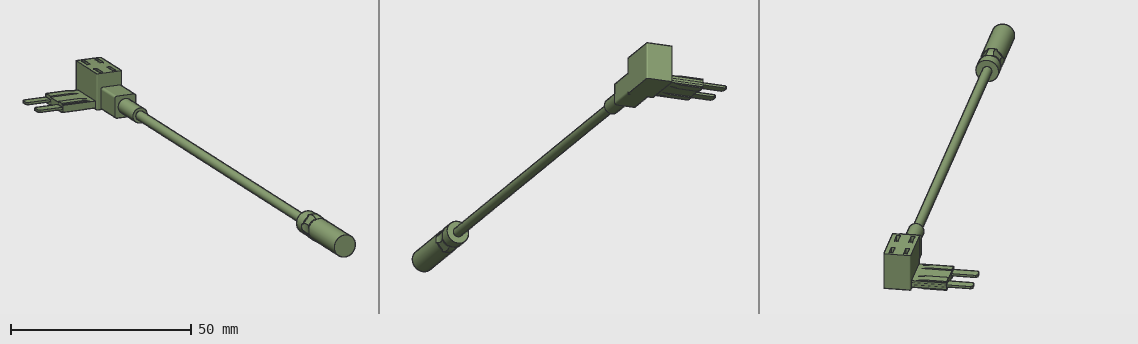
import cadquery as cq


total_length = 169.7
sleeve_start = 144.4
sleeve_radius = 3.2

neck_start = 148.5
neck_length = 3.5
neck_middle = neck_start + neck_length / 2
crown_height = 3.5
crown_length = 4.8
crown_half_width = 0.8
groove_floor = 2.7
groove_length = 4.8
side_half_height = 0.7

block_length = 14.1
block_front = -4.4
block_top = 7.3
block_edge_radius = 0.3

outlet_half_side = sleeve_radius
outlet_end = 23.5
outlet_edge_radius = 0.7
boot_end = 33.3
boot_radius = 2.2
cable_radius = 1.4

slot_width = 1.0
slot_depth = 1.7
slot_rows = (1.4, -2.7)
slot_spans = ((1.2, 4.8), (9.2, 13.0))

tongue_span = (1.4, 13.0)
tongue_end = -14.3
tongue_middle_z = -1.9
tongue_thickness = 2.0
rail_height = 0.3
rail_start = -5.8
rail_full = -7.8
rail_spans = ((1.7, 4.5), (10.0, 12.2))

blade_spans = ((1.7, 4.5), (9.5, 12.5))
blade_thickness = 0.7
blade_tip = -21.5
blade_tip_chamfer = 0.5


def box_between(x_range, y_range, z_range):
    """Box filling the given (low, high) range on each axis."""
    lows, highs = zip(x_range, y_range, z_range)
    sizes = [high - low for low, high in zip(lows, highs)]
    return cq.Workplane("XY").box(*sizes, centered=False).translate(lows)


def rod(x_start, x_end, radius):
    """Round rod on the cable axis."""
    return cq.Workplane("YZ").workplane(offset=x_start).circle(radius).extrude(x_end - x_start)


def make_blade(x_range):
    """Flat contact blade from the block's front face to its chamfered tip."""
    half = blade_thickness / 2
    z_range = (tongue_middle_z - half, tongue_middle_z + half)
    blade = box_between(x_range, (blade_tip, block_front), z_range)
    return blade.faces("<Y").edges("|Z").chamfer(blade_tip_chamfer)


def make_rail(x_range):
    """Rail standing above and below the tongue, with a ramp at its block end."""
    face = tongue_thickness / 2
    crest = face + rail_height
    profile = [
        (rail_start, face),
        (rail_full, crest),
        (tongue_end, crest),
        (tongue_end, -crest),
        (rail_full, -crest),
        (rail_start, -face),
    ]
    x_start, x_end = x_range
    rail = cq.Workplane("YZ").polyline(profile).close().extrude(x_end - x_start)
    return rail.translate((x_start, 0, tongue_middle_z))


def make_tongue():
    half = tongue_thickness / 2
    tongue = box_between(
        tongue_span,
        (tongue_end, block_front),
        (tongue_middle_z - half, tongue_middle_z + half),
    )
    for span in rail_spans:
        tongue = tongue.union(make_rail(span))
    for span in blade_spans:
        tongue = tongue.cut(make_blade(span))
    return tongue


def make_block():
    block = box_between(
        (0, block_length),
        (block_front, outlet_half_side),
        (-outlet_half_side, block_top),
    )
    block = block.edges("|Z").fillet(block_edge_radius)
    for row in slot_rows:
        for span in slot_spans:
            y_range = (row - slot_width / 2, row + slot_width / 2)
            block = block.cut(box_between(span, y_range, (block_top - slot_depth, block_top)))
    return block


def make_outlet():
    """Square outlet with rounded long edges, followed by the round cable boot."""
    root = block_length / 2
    side = (-outlet_half_side, outlet_half_side)
    outlet = box_between((root, outlet_end), side, side).edges("|X").fillet(outlet_edge_radius)
    return outlet.union(rod(outlet_end, boot_end, boot_radius))


def make_housing():
    return make_block().union(make_outlet()).union(make_tongue())


def make_neck_core():
    """Eight-sided core of the neck, crowned above and below."""
    corners = [
        (crown_half_width, crown_height),
        (sleeve_radius, side_half_height),
        (sleeve_radius, -side_half_height),
        (crown_half_width, -crown_height),
    ]
    outline = corners + [(-y, z) for y, z in reversed(corners)]
    core_start = neck_middle - crown_length / 2
    core_end = neck_middle + crown_length / 2
    core = cq.Workplane("YZ").workplane(offset=core_start).polyline(outline).close().extrude(crown_length)
    crown = (
        cq.Workplane("XZ")
        .moveTo(core_start, sleeve_radius)
        .threePointArc((neck_middle, crown_height), (core_end, sleeve_radius))
        .lineTo(core_end, -sleeve_radius)
        .threePointArc((neck_middle, -crown_height), (core_start, -sleeve_radius))
        .close()
        .extrude(sleeve_radius, both=True)
    )
    return core.intersect(crown)


def make_groove(side):
    """Shallow hollow across one side of the neck; side is +1 or -1 along Y."""
    depth = sleeve_radius - groove_floor
    radius = ((groove_length / 2) ** 2 + depth**2) / (2 * depth)
    centre_y = side * (groove_floor + radius)
    return cq.Workplane("XY").center(neck_middle, centre_y).circle(radius).extrude(crown_height, both=True)


def make_sleeve():
    neck_end = neck_start + neck_length
    sleeve = rod(sleeve_start, neck_start, sleeve_radius).union(make_neck_core())
    sleeve = sleeve.union(rod(neck_end, total_length, sleeve_radius))
    for side in (1, -1):
        sleeve = sleeve.cut(make_groove(side))
    return sleeve


housing = make_housing()
blades = [make_blade(span) for span in blade_spans]
cable = rod(boot_end, sleeve_start, cable_radius)
sleeve = make_sleeve()

result = cq.Compound.makeCompound(
    [housing.val(), *[blade.val() for blade in blades], cable.val(), sleeve.val()]
)